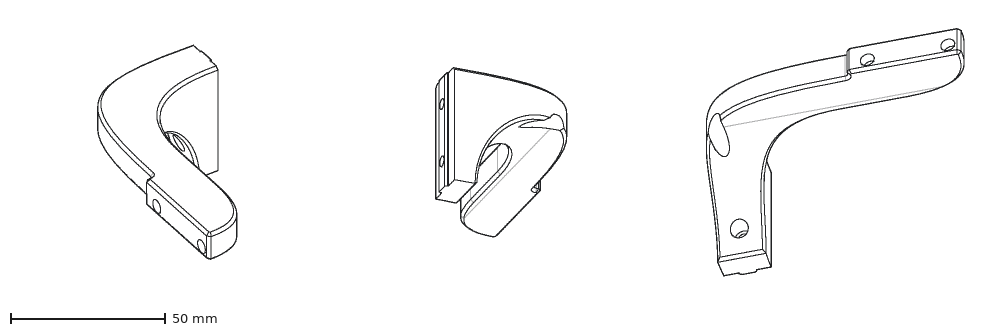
import cadquery as cq

length = 95.7
depth = 54.9
height = 40.6

rib_height = 1.1
back_y = depth - rib_height
wall_width = 16.1
arm_thickness = 10.7
arch_radius = height - arm_thickness
wall_thickness = 8.3
arch_center_y = back_y - wall_thickness - arch_radius
edge_chamfer = 1.1

arm_front_y = 2.9
step_x = 57.1
step_fillet = 1.15
arm_back_y = 18.5
tip_start_x = 72.7
bend_end_x = 49.8

outer_pull_x = 7.7
outer_pull_y = 10.5
inner_pull_x = 28.3
inner_pull_y = 28.9
tip_pull_x = 88.5
tip_pull_y = 13.3

tolerance = 0.1

cut_overrun = 1.0

rib_width = 6.0
rib_center_x = 8.1
rib_chamfer = 0.7

screw_x = 8.2
screw_heights = (9.95, 30.4)
screw_diameter = 3.5
head_diameter = 6.0
head_seat_thickness = 5.0

pocket_diameter = 4.7
pocket_depth = 3.8
pocket_z = 33.6
pocket_positions = (64.3, 91.5)


def make_arm_blank():
    """Full-height S-shaped outline: wall at the back, pad at the front right."""
    return (
        cq.Workplane("XY")
        .moveTo(0, back_y)
        .bezier([(0, back_y), (0, outer_pull_y), (outer_pull_x, arm_front_y),
                 (step_x - step_fillet, arm_front_y)])
        .radiusArc((step_x, arm_front_y - step_fillet), step_fillet)
        .lineTo(step_x, edge_chamfer)
        .lineTo(step_x + edge_chamfer, 0)
        .lineTo(length - edge_chamfer, 0)
        .lineTo(length, edge_chamfer)
        .bezier([(length, edge_chamfer), (length, tip_pull_y), (tip_pull_x, arm_back_y),
                 (tip_start_x, arm_back_y)])
        .lineTo(bend_end_x, arm_back_y)
        .bezier([(bend_end_x, arm_back_y), (inner_pull_x, arm_back_y), (wall_width, inner_pull_y),
                 (wall_width, back_y)])
        .close()
        .extrude(height)
    )


def make_arch_cutter():
    """Quarter-round clearance under the arm."""
    return (
        cq.Workplane("YZ")
        .moveTo(-cut_overrun, 0)
        .lineTo(arch_center_y + arch_radius, 0)
        .radiusArc((arch_center_y, arch_radius), -arch_radius)
        .lineTo(-cut_overrun, arch_radius)
        .close()
        .extrude(length + cut_overrun)
    )


def is_underside(face):
    """True for the flat under the arm and for the large arch surface."""
    box = face.BoundingBox()
    flat_under_arm = abs(box.zmin - arch_radius) < tolerance and box.zlen < tolerance
    arch = face.geomType() == "CYLINDER" and box.zlen > arch_radius / 2
    return flat_under_arm or arch


def chamfer_rims(arm):
    """Bevel the top rim, the front foot edge and the underside rim; the back face stays sharp."""
    arm = arm.faces(">Z").edges("not >Y").chamfer(edge_chamfer)
    arm = arm.faces("<Z").edges("<Y").chamfer(edge_chamfer)

    edges = [edge for face in arm.faces().vals() if is_underside(face) for edge in face.Edges()]
    rim = []
    for edge in edges:
        shared = sum(edge.isSame(other) for other in edges) > 1
        above_foot = edge.BoundingBox().zmax > 2 * edge_chamfer
        if above_foot and not shared:
            rim.append(edge)
    return arm.newObject(rim).chamfer(edge_chamfer)


def make_rib():
    """Full-height locating rib with bevelled sides and top."""
    rib = cq.Workplane("XY").box(rib_width, 2 * rib_height, height, centered=(True, True, False))
    rib = rib.faces(">Y").edges("|Z or >Z").chamfer(rib_chamfer)
    return rib.translate((rib_center_x, back_y, 0))


def cylinder_along_y(diameter, x, z, start_y, end_y):
    """Round cutter running back along Y."""
    plane = cq.Plane(origin=(x, start_y, z), xDir=(1, 0, 0), normal=(0, 1, 0))
    return cq.Workplane(plane).circle(diameter / 2).extrude(end_y - start_y)


body = chamfer_rims(make_arm_blank().cut(make_arch_cutter()))
body = body.union(make_rib())

for screw_z in screw_heights:
    body = body.cut(cylinder_along_y(screw_diameter, screw_x, screw_z, 0, depth))
    body = body.cut(cylinder_along_y(head_diameter, screw_x, screw_z, 0, back_y - head_seat_thickness))

for pocket_x in pocket_positions:
    body = body.cut(cylinder_along_y(pocket_diameter, pocket_x, pocket_z, 0, pocket_depth))

result = body